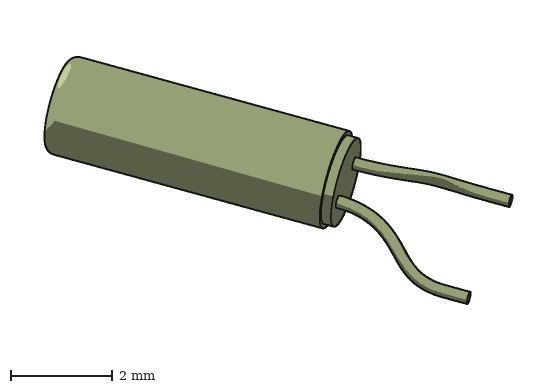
import cadquery as cq

can_diameter = 2.0
can_length = 5.8
can_edge_radius = 0.2

plug_diameter = 1.82
plug_length = 0.21

lead_diameter = 0.25
lead_start_spacing = 1.0
lead_end_spacing = 2.54
lead_drop = 0.9
lead_tip_length = 0.505
total_length = 9.01

bend_x = 7.43
bend_y = 0.955
bend_z = -0.44

plug_face_x = can_length + plug_length
tip_start_x = total_length - lead_tip_length


def cylinder_along_x(start_x, length, diameter, y=0.0, z=0.0):
    """Round bar that starts at start_x and runs toward +X."""
    plane = cq.Plane(origin=(start_x, y, z), xDir=(0, 1, 0), normal=(1, 0, 0))
    return cq.Workplane(plane).circle(diameter / 2).extrude(length)


def make_can():
    can = cylinder_along_x(0, can_length, can_diameter)
    return can.faces("<X").edges().fillet(can_edge_radius)


def make_lead(side):
    """One lead; side is +1 for the +Y lead and -1 for the -Y lead."""
    start = cq.Vector(plug_face_x, side * lead_start_spacing / 2, 0)
    bend = cq.Vector(bend_x, side * bend_y, bend_z)
    tip = cq.Vector(tip_start_x, side * lead_end_spacing / 2, -lead_drop)
    along_x = cq.Vector(1, 0, 0)

    path = cq.Edge.makeSpline([start, bend, tip], tangents=[along_x, along_x])
    plane = cq.Plane(origin=start, xDir=(0, 1, 0), normal=along_x)
    bent_wire = cq.Workplane(plane).circle(lead_diameter / 2).sweep(cq.Workplane(path))

    straight_tip = cylinder_along_x(tip_start_x, lead_tip_length, lead_diameter, tip.y, tip.z)
    return bent_wire.union(straight_tip)


plug = cylinder_along_x(can_length, plug_length, plug_diameter)

result = make_can().union(plug)
for side in (1, -1):
    result = result.union(make_lead(side))